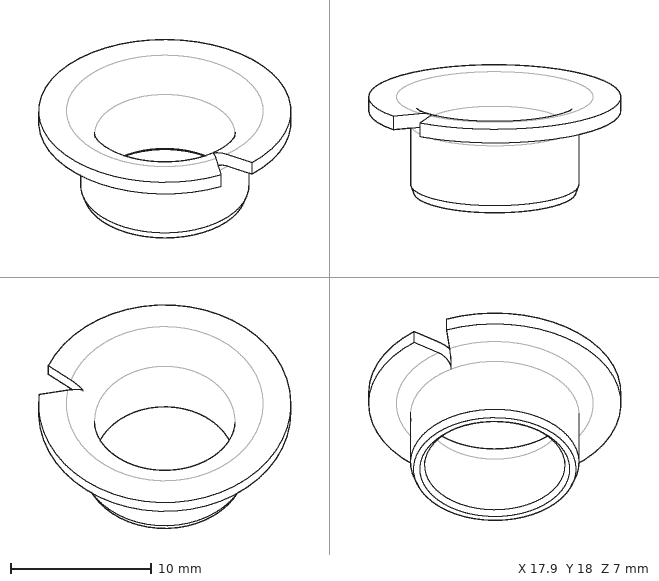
import cadquery as cq
import math

flange_radius = 8.98
height = 7.0
wall = 1.0
bore_radius = 5.0
tube_radius = 6.0
outer_fillet = 1.0
chamfer_height = 0.6
bore_chamfer = 0.35
chamfer_angle = 20.0
notch_half_angle = 25.0

mouth_fillet = outer_fillet + wall
flange_bottom = height - wall
chamfer_width = chamfer_height * math.tan(math.radians(chamfer_angle))
diagonal = math.sqrt(0.5)


def flanged_bushing():
    """Revolve the wall section, drawn as (radius, height), about Z."""
    outer_center = (tube_radius + outer_fillet, flange_bottom - outer_fillet)
    mouth_center = (bore_radius + mouth_fillet, height - mouth_fillet)
    outer_mid = (
        outer_center[0] - outer_fillet * diagonal,
        outer_center[1] + outer_fillet * diagonal,
    )
    mouth_mid = (
        mouth_center[0] - mouth_fillet * diagonal,
        mouth_center[1] + mouth_fillet * diagonal,
    )
    return (
        cq.Workplane("XZ")
        .moveTo(bore_radius, bore_chamfer)
        .lineTo(bore_radius + bore_chamfer, 0)
        .lineTo(tube_radius - chamfer_width, 0)
        .lineTo(tube_radius, chamfer_height)
        .lineTo(tube_radius, outer_center[1])
        .threePointArc(outer_mid, (outer_center[0], flange_bottom))
        .lineTo(flange_radius, flange_bottom)
        .lineTo(flange_radius, height)
        .lineTo(mouth_center[0], height)
        .threePointArc(mouth_mid, (bore_radius, mouth_center[1]))
        .close()
        .revolve(360, (0, 0, 0), (0, 1, 0))
    )


def flange_notch():
    """V cutter on +X, from the tube's outer radius out past the flange rim."""
    reach = flange_radius
    half_width = reach * math.tan(math.radians(notch_half_angle))
    return (
        cq.Workplane("XY")
        .workplane(offset=height - mouth_fillet)
        .moveTo(tube_radius, 0)
        .lineTo(tube_radius + reach, half_width)
        .lineTo(tube_radius + reach, -half_width)
        .close()
        .extrude(mouth_fillet)
    )


result = flanged_bushing().cut(flange_notch())